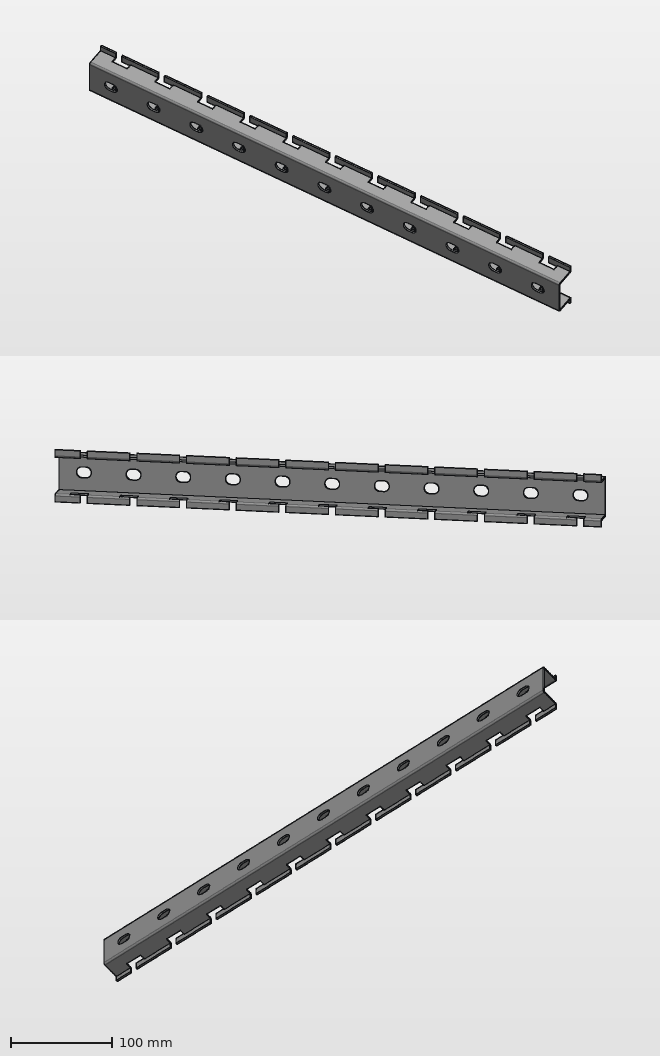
import cadquery as cq

length = 550.0
depth = 22.0
height = 53.0

thickness = 2.0
bend_radius = thickness
lip_height = 6.0
lip_front = depth - thickness
flange_outside = height / 2 - lip_height
flange_inside = flange_outside - thickness

opening_count = 11
pitch = length / opening_count
pitch_starts = [i * pitch - length / 2 for i in range(opening_count)]

hole_length = 15.0
hole_width = 11.0

slot_start = 17.5
slot_length = 17.5
slot_depth = 6.0
notch_length = 7.0


def hat_section():
    """Web at the front, two flanges running back, and lips turned outwards."""
    upper_outside = [
        (depth, height / 2),
        (lip_front, height / 2),
        (lip_front, flange_outside),
        (0, flange_outside),
    ]
    upper_inside = [
        (thickness, flange_inside),
        (depth, flange_inside),
    ]
    lower_outside = [(y, -z) for y, z in reversed(upper_outside)]
    lower_inside = [(y, -z) for y, z in reversed(upper_inside)]
    return (
        cq.Workplane("YZ", origin=(-length / 2, 0, 0))
        .polyline(upper_outside + lower_outside + lower_inside + upper_inside)
        .close()
        .extrude(length)
    )


def long_edge_at(y, z):
    """Selector for the edge that runs the length of the rail at the given y and z."""
    margin = thickness / 4
    return cq.selectors.BoxSelector(
        (-length, y - margin, z - margin),
        (length, y + margin, z + margin),
    )


def round_bends(body):
    """Round the outside of the web bends and of the lip bends."""
    for side in (1, -1):
        body = body.edges(long_edge_at(0, side * flange_outside)).fillet(bend_radius)
        body = body.edges(long_edge_at(depth, side * flange_inside)).fillet(bend_radius)
    return body


def web_holes():
    """Oblong holes through the web."""
    return (
        cq.Workplane("XZ", origin=(0, depth / 2, 0))
        .pushPoints([(start + pitch / 2, 0) for start in pitch_starts])
        .slot2D(hole_length, hole_width)
        .extrude(depth / 2)
    )


def edge_cuts(cut_length, y_start, y_end, cut_height):
    """One box per pitch, beginning at the slot edge and reaching through both flanges."""
    box = cq.Solid.makeBox(cut_length, y_end - y_start, cut_height)
    return (
        cq.Workplane("XY", origin=(0, y_start, -cut_height / 2))
        .pushPoints([(start + slot_start, 0) for start in pitch_starts])
        .eachpoint(lambda location: box.located(location))
    )


slot_front = lip_front - slot_depth
flange_slots = edge_cuts(slot_length, slot_front, lip_front, 2 * flange_outside)
lip_notches = edge_cuts(notch_length, slot_front, depth, height)

rail = round_bends(hat_section())
result = rail.cut(web_holes()).cut(flange_slots).cut(lip_notches)